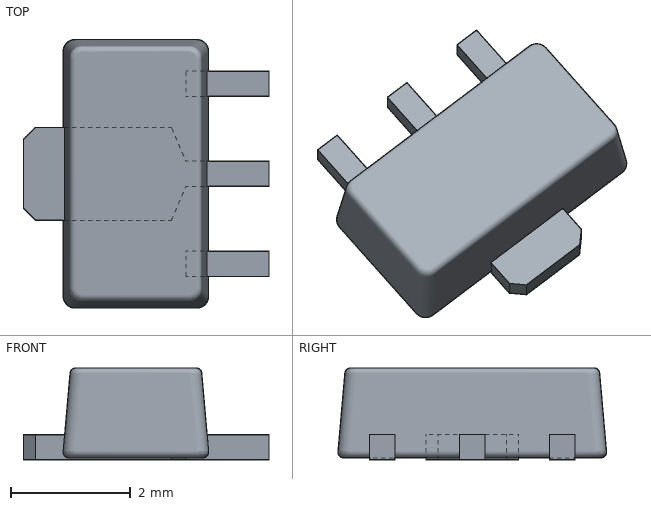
import cadquery as cq

BODY_WIDTH = 2.445
BODY_LENGTH = 4.5
BODY_HEIGHT = 1.5
DRAFT_ANGLE = 5.0
CORNER_RADIUS = 0.2
RIM_RADIUS = 0.1

METAL_THICKNESS = 0.42
STANDOFF = 0.03

LEAD_WIDTH = 0.42
LEAD_PITCH = 1.5
LEAD_TIP_X = 2.22

TAB_WIDTH = 1.55
TAB_TIP_X = -1.875
TAB_CHAMFER = 0.2
TAPER_START_X = 0.59
TAPER_RUN = 0.24
TAPER_END_X = TAPER_START_X + TAPER_RUN


def make_body():
    """Drafted block with rounded corners and rims."""
    block = cq.Workplane("XY").rect(BODY_WIDTH, BODY_LENGTH).extrude(BODY_HEIGHT, taper=DRAFT_ANGLE)
    block = block.edges("not (#Z)").fillet(CORNER_RADIUS)
    return block.faces("<Z or >Z").edges().fillet(RIM_RADIUS)


def make_metal(outline):
    """Flat metal piece of the given closed outline, standing proud of the body base."""
    base = cq.Workplane("XY").workplane(offset=-STANDOFF)
    return base.polyline(outline).close().extrude(METAL_THICKNESS)


def make_tab_and_middle_lead():
    """Heat tab with cut outer corners that narrows into the middle lead."""
    half_tab = TAB_WIDTH / 2
    half_lead = LEAD_WIDTH / 2
    upper_half = [
        (TAB_TIP_X, half_tab - TAB_CHAMFER),
        (TAB_TIP_X + TAB_CHAMFER, half_tab),
        (TAPER_START_X, half_tab),
        (TAPER_END_X, half_lead),
        (LEAD_TIP_X, half_lead),
    ]
    lower_half = [(x, -y) for x, y in reversed(upper_half)]
    return make_metal(upper_half + lower_half)


def make_outer_lead(y_center):
    """Straight lead whose inner end is level with the end of the tab taper."""
    y_low = y_center - LEAD_WIDTH / 2
    y_high = y_center + LEAD_WIDTH / 2
    return make_metal([
        (TAPER_END_X, y_low),
        (LEAD_TIP_X, y_low),
        (LEAD_TIP_X, y_high),
        (TAPER_END_X, y_high),
    ])


result = make_body().union(make_tab_and_middle_lead())
for side in (-1, 1):
    result = result.union(make_outer_lead(side * LEAD_PITCH))